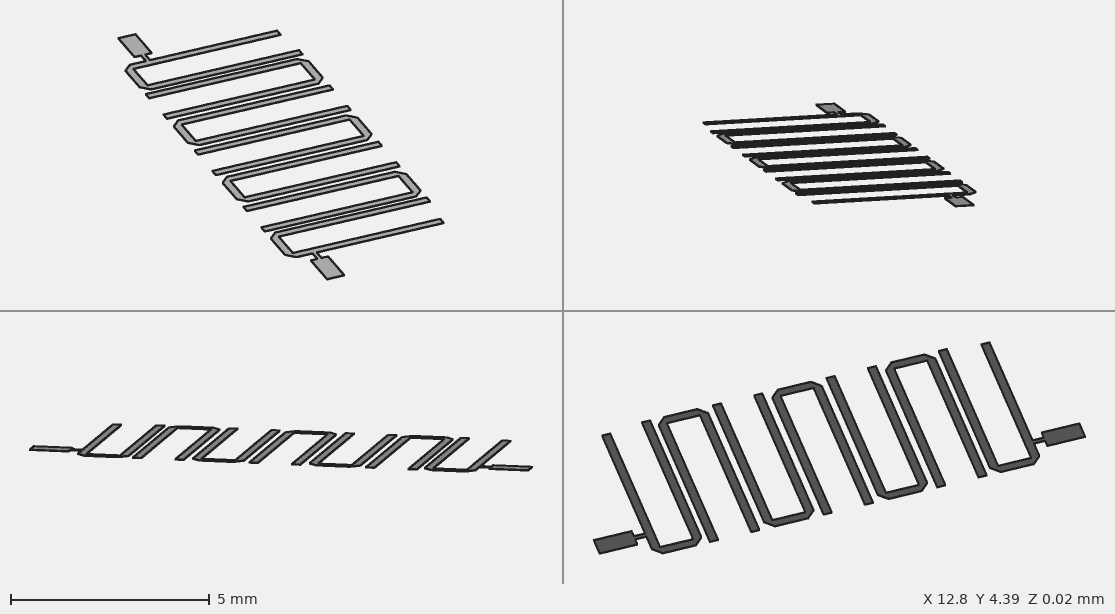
import cadquery as cq

length = 12.83
depth = 4.39
thickness = 0.02

hairpin_width = 1.31
strip_width = 0.22
outer_leg_setback = 0.12
gaps = (0.19, 0.19, 0.15)

pad_length = 1.0
pad_width = 0.47
neck_width = 0.12
feed_height = 0.72

centres = [sum(gaps[:count]) + count * hairpin_width for count in range(1, len(gaps) + 1)]
end_centre = centres[-1]
inner_centres = centres[:-1]


def make_hairpin(setback=0.0):
    """U-shaped strip centred on X and Y, with its bridge at -Y and mitred bridge corners.

    The +X leg is shorter than the full depth by the setback.
    """
    x_outer = hairpin_width / 2
    x_inner = x_outer - strip_width
    y_end = depth / 2
    y_inner = strip_width - y_end
    outline = [
        (-x_outer, y_end),
        (-x_outer, y_inner),
        (-x_inner, -y_end),
        (x_inner, -y_end),
        (x_outer, y_inner),
        (x_outer, y_end - setback),
        (x_inner, y_end - setback),
        (x_inner, y_inner),
        (-x_inner, y_inner),
        (-x_inner, y_end),
    ]
    return cq.Workplane("XY").polyline(outline).close().extrude(thickness)


def make_feed_strip(x_start, x_end, width):
    """Flat strip along the feed centreline from x_start to x_end."""
    y_feed = feed_height - depth / 2
    return (
        cq.Workplane("XY")
        .center((x_start + x_end) / 2, y_feed)
        .rect(x_end - x_start, width)
        .extrude(thickness)
    )


def make_end_hairpin():
    """Right end hairpin in place, in one piece with its neck and feed pad."""
    x_pad_end = length / 2
    x_pad_start = x_pad_end - pad_length
    x_neck_start = end_centre + hairpin_width / 2 - strip_width

    hairpin = make_hairpin(outer_leg_setback).translate((end_centre, 0, 0))
    neck = make_feed_strip(x_neck_start, x_pad_start, neck_width)
    pad = make_feed_strip(x_pad_start, x_pad_end, pad_width)
    return hairpin.union(neck).union(pad).clean()


def make_inner_hairpin(x_centre, bridge_on_top):
    """Full-length hairpin at its place in the row."""
    hairpin = make_hairpin()
    if bridge_on_top:
        hairpin = hairpin.rotate((0, 0, 0), (0, 0, 1), 180)
    return hairpin.translate((x_centre, 0, 0))


right_end_hairpin = make_end_hairpin()
left_end_hairpin = right_end_hairpin.mirror("YZ")

inner_hairpins = [make_inner_hairpin(0, True)]
for place, x_centre in enumerate(inner_centres, start=1):
    bridge_on_top = place % 2 == 0
    for side in (-1, 1):
        inner_hairpins.append(make_inner_hairpin(side * x_centre, bridge_on_top))

result = cq.Compound.makeCompound([
    left_end_hairpin.val(),
    *[hairpin.val() for hairpin in inner_hairpins],
    right_end_hairpin.val(),
])